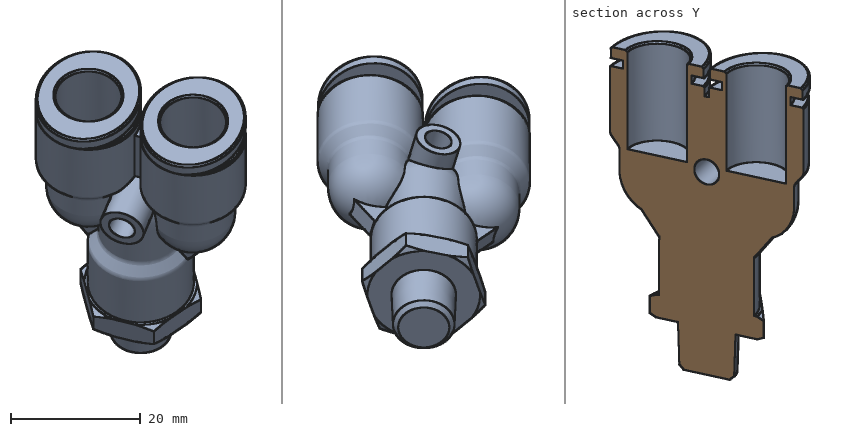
import cadquery as cq
import math

thread_length = 8.0
nut_height = 4.0
total_height = 53.0

socket_offset = 8.5
socket_radius = 8.15
socket_top = 49.7
socket_edge_chamfer = 0.2
socket_shoulder = 38.0
dome_center_z = 32.0

neck_radius = 6.55
taper_height = 2.0
taper_fillet = 1.0

ring_length_x = 16.0
ring_length_y = 18.7
ring_thickness = 2.0
ring_edge_chamfer = 0.3
collar_radius = 5.9
bore_radius = 5.1
bore_depth = 17.0
bore_edge_chamfer = 0.3

trunk_radius = 8.2
trunk_shoulder = 22.0
nut_across_flats = 17.0
nut_edge_radius = 8.7
nut_chamfer_angle = 25.0
thread_radius_top = 4.98
thread_radius_end = 4.75
thread_chamfer = 0.8

pin_radius = 3.5
pin_hole_radius = 2.1
pin_length = 18.7
pin_z = 35.0

web_thickness = 3.0
web_top = 48.0
gusset_rise = 6.0
gusset_run = 4.5

nut_top = thread_length + nut_height
ring_bottom = total_height - ring_thickness
trunk_top = pin_z - pin_radius
sides = (-1, 1)


def stepped_post(wide_radius, wide_end, shoulder, narrow_end):
    """Round post whose wide end narrows to the neck through a rounded taper."""
    direction = math.copysign(1.0, narrow_end - wide_end)
    taper_end = shoulder + direction * taper_height
    profile = (
        cq.Workplane("XZ")
        .moveTo(0, wide_end)
        .lineTo(wide_radius, wide_end)
        .lineTo(wide_radius, shoulder)
        .lineTo(neck_radius, taper_end)
        .lineTo(neck_radius, narrow_end)
        .lineTo(0, narrow_end)
        .close()
    )
    post = profile.revolve(360, (0, 0, 0), (0, 1, 0))
    low, high = sorted((shoulder, taper_end))
    margin = taper_height / 4
    reach = 2 * wide_radius
    taper_zone = cq.selectors.BoxSelector(
        (-reach, -reach, low - margin),
        (reach, reach, high + margin),
        boundingbox=False,
    )
    return post.edges("%CIRCLE").edges(taper_zone).fillet(taper_fillet)


def end_dome(center_z):
    """Ball of the neck radius that rounds off the end of a post."""
    return cq.Workplane("XY").sphere(neck_radius).translate((0, 0, center_z))


def socket():
    """One tube receiver on the Z axis: body, domed end, collar and oval ring."""
    body = stepped_post(socket_radius, socket_top, socket_shoulder, dome_center_z)
    body = body.faces(">Z").chamfer(socket_edge_chamfer)
    collar = (
        cq.Workplane("XY", origin=(0, 0, socket_top))
        .circle(collar_radius)
        .extrude(ring_bottom - socket_top)
    )
    ring = (
        cq.Workplane("XY", origin=(0, 0, ring_bottom))
        .ellipse(ring_length_x / 2, ring_length_y / 2)
        .extrude(ring_thickness)
        .faces(">Z")
        .chamfer(ring_edge_chamfer)
    )
    return body.union(end_dome(dome_center_z)).union(collar).union(ring)


def tube_bore():
    """Blind bore with a chamfered mouth, on the Z axis."""
    mouth_radius = bore_radius + bore_edge_chamfer
    floor = total_height - bore_depth
    return (
        cq.Workplane("XZ")
        .moveTo(0, floor)
        .lineTo(bore_radius, floor)
        .lineTo(bore_radius, total_height - bore_edge_chamfer)
        .lineTo(mouth_radius, total_height)
        .lineTo(0, total_height)
        .close()
        .revolve(360, (0, 0, 0), (0, 1, 0))
    )


def trunk():
    """Central post rising from the nut, domed at the underside of the pin."""
    post = stepped_post(trunk_radius, nut_top, trunk_shoulder, trunk_top)
    return post.union(end_dome(trunk_top))


def nut():
    """Hexagon with flats facing +-Y and conically chamfered corners."""
    corner_radius = nut_across_flats / math.sqrt(3)
    hexagon = (
        cq.Workplane("XY", origin=(0, 0, thread_length))
        .polygon(6, 2 * corner_radius)
        .extrude(nut_height)
    )
    corner_drop = (corner_radius - nut_edge_radius) * math.tan(math.radians(nut_chamfer_angle))
    envelope = (
        cq.Workplane("XZ")
        .moveTo(0, thread_length)
        .lineTo(nut_edge_radius, thread_length)
        .lineTo(corner_radius, thread_length + corner_drop)
        .lineTo(corner_radius, nut_top - corner_drop)
        .lineTo(nut_edge_radius, nut_top)
        .lineTo(0, nut_top)
        .close()
        .revolve(360, (0, 0, 0), (0, 1, 0))
    )
    return hexagon.intersect(envelope)


def thread():
    """Plain tapered thread envelope with a chamfered end."""
    return (
        cq.Workplane("XZ")
        .lineTo(thread_radius_end - thread_chamfer, 0)
        .lineTo(thread_radius_end, thread_chamfer)
        .lineTo(thread_radius_top, thread_length)
        .lineTo(0, thread_length)
        .close()
        .revolve(360, (0, 0, 0), (0, 1, 0))
    )


def pin(radius):
    """Round bar along Y through the crotch of the fitting."""
    return (
        cq.Workplane("XZ", origin=(0, pin_length / 2, pin_z))
        .circle(radius)
        .extrude(pin_length)
    )


def webs():
    """Upright web between the sockets and sloped gussets under their domes."""
    gusset_x = trunk_radius + gusset_run
    gusset_z = trunk_shoulder + gusset_rise
    wall_middle = (bore_radius + socket_radius) / 2
    web_end_x = socket_offset - wall_middle
    return (
        cq.Workplane("XZ", origin=(0, web_thickness / 2, 0))
        .moveTo(-trunk_radius, trunk_shoulder)
        .lineTo(trunk_radius, trunk_shoulder)
        .lineTo(gusset_x, gusset_z)
        .lineTo(socket_offset, dome_center_z)
        .lineTo(web_end_x, web_top)
        .lineTo(-web_end_x, web_top)
        .lineTo(-socket_offset, dome_center_z)
        .lineTo(-gusset_x, gusset_z)
        .close()
        .extrude(web_thickness)
    )


result = trunk().union(nut()).union(thread()).union(webs()).union(pin(pin_radius))
for side in sides:
    result = result.union(socket().translate((side * socket_offset, 0, 0)))
for side in sides:
    result = result.cut(tube_bore().translate((side * socket_offset, 0, 0)))
result = result.cut(pin(pin_hole_radius))